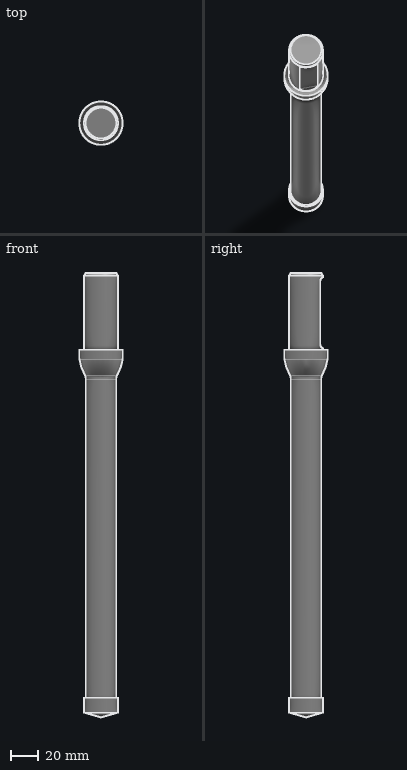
import cadquery as cq

total_length = 325.0

head_diameter = 25.0
head_top_z = 14.5
point_height = 3.5

rod_diameter = 22.5

collar_diameter = 32.0
collar_top_z = 268.8
band_bottom_z = 262.0
taper_bottom_diameter = 23.7
taper_bottom_z = 250.2
blend_bottom_z = 247.3
taper_bulge = 0.5

shank_diameter = 25.0
shank_top_z = 322.7
rim_diameter = 24.0
rim_z = 323.5
end_diameter = 22.5

flat_depth = 2.0
flat_bottom_z = 269.8
flat_top_z = 321.8
flat_end_diameter = 5.2


def make_shank_rod():
    """Rod, collar and shank turned as one piece about Z."""
    rod_radius = rod_diameter / 2
    collar_radius = collar_diameter / 2
    shank_radius = shank_diameter / 2

    taper_bottom_radius = taper_bottom_diameter / 2

    blend_middle = (
        (3 * rod_radius + taper_bottom_radius) / 4,
        (blend_bottom_z + taper_bottom_z) / 2,
    )

    taper_middle = (
        (collar_radius + taper_bottom_radius) / 2 + taper_bulge,
        (band_bottom_z + taper_bottom_z) / 2,
    )

    return (
        cq.Workplane("XZ")
        .moveTo(0, head_top_z)
        .lineTo(rod_radius, head_top_z)
        .lineTo(rod_radius, blend_bottom_z)
        .threePointArc(blend_middle, (taper_bottom_radius, taper_bottom_z))
        .threePointArc(taper_middle, (collar_radius, band_bottom_z))
        .lineTo(collar_radius, collar_top_z)
        .lineTo(shank_radius, collar_top_z)
        .lineTo(shank_radius, shank_top_z)
        .lineTo(rim_diameter / 2, rim_z)
        .lineTo(end_diameter / 2, total_length)
        .lineTo(0, total_length)
        .close()
        .revolve(360, (0, 0, 0), (0, 1, 0))
    )


def make_flat_cutter():
    """Block that mills the flat across X; its inner edges are rounded."""
    flat_y = shank_diameter / 2 - flat_depth
    return (
        cq.Workplane("XY")
        .box(shank_diameter, shank_diameter, flat_top_z - flat_bottom_z, centered=(True, False, False))
        .translate((0, flat_y, flat_bottom_z))
        .edges("|X and <Y")
        .fillet(flat_end_diameter / 2)
    )


def make_bit_head():
    """Cylindrical head with a shallow conical point at z = 0."""
    head_radius = head_diameter / 2
    return (
        cq.Workplane("XZ")
        .moveTo(0, 0)
        .lineTo(head_radius, point_height)
        .lineTo(head_radius, head_top_z)
        .lineTo(0, head_top_z)
        .close()
        .revolve(360, (0, 0, 0), (0, 1, 0))
    )


shank_rod = make_shank_rod().cut(make_flat_cutter())
bit_head = make_bit_head()

result = cq.Compound.makeCompound([shank_rod.val(), bit_head.val()])